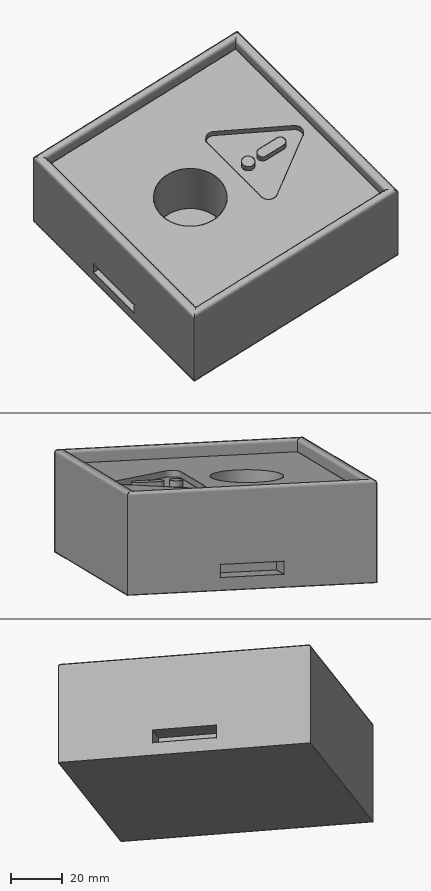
import cadquery as cq
import math

side = 100.0
height = 40.1
rim_width = 3.8
rim_depth = 5.1
rim_round = 1.3
panel_z = height - rim_depth

hole_diameter = 28.3
hole_depth = 25.0
hole_y = -12.5

sign_depth = 2.5
sign_corner_radius = 3.5
sign_base_y = 9.2
sign_apex_y = 42.1
sign_width = 40.4
bar_width = 4.4
bar_bottom_y = 20.8
bar_top_y = 33.8
dot_diameter = 5.2
dot_y = 15.9

slot_width = 25.4
slot_height = 5.1
slot_bottom_z = 5.1
slot_depth = 10.0


def make_body():
    """Square block with a sunken panel inside a rim rounded on both edges."""
    panel_side = side - 2 * rim_width
    block = cq.Workplane("XY").box(side, side, height, centered=(True, True, False))
    recess = (
        cq.Workplane("XY")
        .workplane(offset=panel_z)
        .rect(panel_side, panel_side)
        .extrude(rim_depth)
    )
    return block.cut(recess).faces(">Z").edges().fillet(rim_round)


def make_hole():
    return (
        cq.Workplane("XY")
        .workplane(offset=panel_z - hole_depth)
        .center(0, hole_y)
        .circle(hole_diameter / 2)
        .extrude(hole_depth)
    )


def sign_outline(floor):
    """Triangle with rounded corners, built from the centres of its corner arcs."""
    radius = sign_corner_radius
    base_half = sign_width / 2 - radius
    base_y = sign_base_y + radius
    apex_y = sign_apex_y - radius

    slope_angle = math.atan2(base_half, apex_y - base_y)
    corner_angle = (slope_angle - math.pi / 2) / 2
    reach_x = radius * math.cos(slope_angle)
    reach_y = radius * math.sin(slope_angle)
    middle_x = base_half + radius * math.cos(corner_angle)
    middle_y = base_y + radius * math.sin(corner_angle)

    return (
        floor.moveTo(-base_half, sign_base_y)
        .lineTo(base_half, sign_base_y)
        .threePointArc((middle_x, middle_y), (base_half + reach_x, base_y + reach_y))
        .lineTo(reach_x, apex_y + reach_y)
        .threePointArc((0, sign_apex_y), (-reach_x, apex_y + reach_y))
        .lineTo(-base_half - reach_x, base_y + reach_y)
        .threePointArc((-middle_x, middle_y), (-base_half, sign_base_y))
        .close()
    )


def make_sign():
    """Pocket volume of the sign, without the exclamation mark that stays standing."""
    floor = cq.Workplane("XY").workplane(offset=panel_z - sign_depth)
    pocket = sign_outline(floor).extrude(sign_depth)
    bar = (
        floor.center(0, (bar_bottom_y + bar_top_y) / 2)
        .slot2D(bar_top_y - bar_bottom_y, bar_width, 90)
        .extrude(sign_depth)
    )
    dot = floor.center(0, dot_y).circle(dot_diameter / 2).extrude(sign_depth)
    return pocket.cut(bar).cut(dot)


def make_front_slot():
    return cq.Workplane("XY").box(
        slot_width, slot_depth, slot_height, centered=(True, False, False)
    ).translate((0, -side / 2, slot_bottom_z))


result = make_body().cut(make_hole()).cut(make_sign())
for turn in (0, -90):
    slot = make_front_slot().rotate((0, 0, 0), (0, 0, 1), turn)
    result = result.cut(slot)